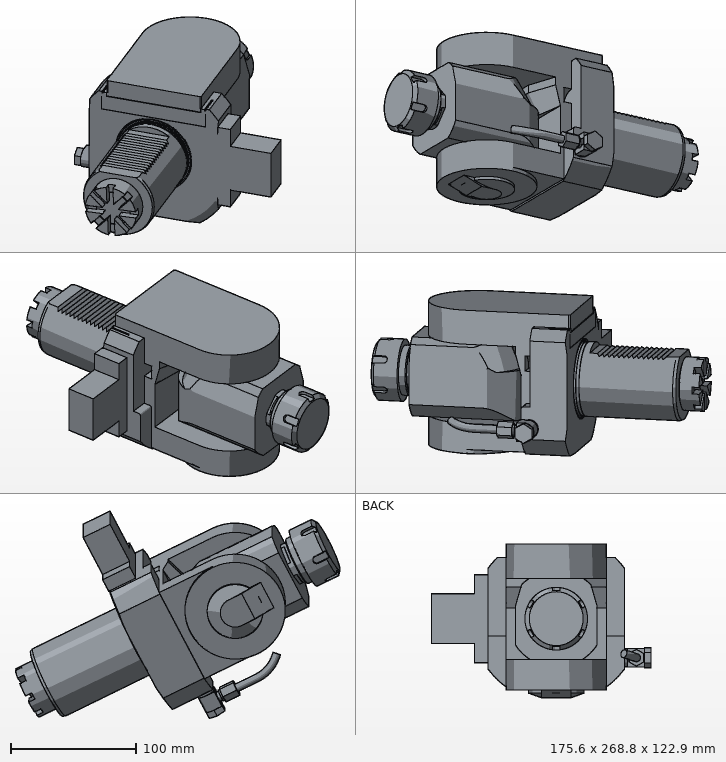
import cadquery as cq
import math


plate_half_width = 54.5
plate_top = 49.0
plate_bottom = -55.5
plate_radius = 67.8
plate_face_radius = 61.8
plate_thickness = 30.7
corner_slope = math.radians(15)
foot_top = -13.7
foot_back = 38.0
foot_fillet = 2.2

seat_half_width = 44.0
seat_bottom = 33.5
seat_setback = 0.3
seat_groove = 1.0
seat_depth = 17.7

flange_end = 65.3
flange_half_height = 35.2
arm_end = 99.8
arm_half_height = 20.0
arm_back = 24.2

frame_radius = 40.0
pivot_y = 85.5
cover_top = 59.7
cover_bottom = 45.7
cover_setback = 1.0
cover_corner = 1.0
upper_arm_bottom = 32.0
lower_arm_bottom = -53.8
lower_disc_bottom = -57.0
web_back = 41.1
bulge_back = 54.5
bulge_edge_back = 45.7
bulge_half_width = 13.5
bulge_full_z = 25.3
bulge_foot_back = 45.0
bulge_foot_z = 8.3
recess_radius = 12.5
recess_floor_z = 12.5

cap_radius = 22.3
cap_rim = 2.5
cap_tip_radius = 11.8
cap_bottom = -63.2
pointer_tip_y = 114.3

head_half_size = 32.5
head_top = upper_arm_bottom
head_front = 135.0
head_shoulder = (27.7, 27.2)
head_side_top = 10.2
head_turned_radius = 38.7
head_back_center_y = 75.3
cone_base_z = 8.0
cone_base_radius = 37.5
cone_top_radius = 25.3

spindle_diameter = 35.0
collar_diameter = 40.0
collar_start = 140.5
collar_chamfer = 0.8
wrench_flats = 31.2
wrench_flat_length = 3.0
nut_start = 146.5
nut_end = 168.5
nut_diameter = 50.0
nut_chamfer_radial = 3.5
nut_chamfer_length = 2.7
nut_slot_count = 6
nut_slot_width = 6.2
nut_slot_length = 13.2
nut_slot_depth = 2.7

shank_diameter = 60.0
neck_diameter = 58.5
neck_length = 3.8
neck_shoulder = 1.0
shank_end = -83.0
shank_chamfer_radial = 0.8
shank_chamfer_length = 2.5
ring_diameter = 64.5
ring_depth = 1.3
seal_diameter = 62.5
seal_setback = 0.5
shank_flat_z = 24.7
shank_flat_start = -9.7
tooth_count = 14
tooth_pitch = 4.0
tooth_depth = 2.02
first_tooth_y = -18.0

drive_diameter = 43.0
drive_gap = 1.0
drive_end = -100.3
undercut_diameter = 37.6
drive_slot_count = 4
drive_slot_width = 5.6
drive_slot_depth = 5.6
inner_slot_length = 28.5
inner_slot_depth = 6.5
drive_rotation = -2.5

banjo_y = 31.0
banjo_z = -31.2
banjo_diameter = 15.0
banjo_outer_x = -70.5
banjo_inner_x = -57.0
banjo_neck_diameter = 14.5
bolt_head_x = -75.8
bolt_head_corners = 16.1
tube_x = -64.0
tube_neck_diameter = 8.0
tube_shoulder_diameter = 9.7
shoulder_start = 40.3
union_start = 42.0
union_end = 54.3
union_corners = 13.5
tube_diameter = 6.5
tube_bend_start = 72.5
tube_bend_radius = 29.5
tube_bend_angle = math.radians(45)
tube_tip_length = 2.7
tube_tilt = math.radians(18)


def box(x0, x1, y0, y1, z0, z1):
    return cq.Workplane("XY").box(x1 - x0, y1 - y0, z1 - z0, centered=False).translate((x0, y0, z0))


def y_prism(points, y0, y1):
    """Extrude an outline of (x, z) points from y0 to y1."""
    return cq.Workplane("XZ", origin=(0, y0, 0)).polyline(points).close().extrude(y0 - y1)


def x_prism(points, half_width):
    """Extrude an outline of (y, z) points to both sides of x = 0."""
    return cq.Workplane("YZ").polyline(points).close().extrude(half_width, both=True)


def y_cylinder(diameter, y0, y1, x=0, z=0):
    return cq.Workplane("XZ", origin=(x, y0, z)).circle(diameter / 2).extrude(y0 - y1)


def y_hexagon(corners, y0, y1, x, z):
    hexagon = cq.Workplane("XZ", origin=(x, y0, z)).polygon(6, corners).extrude(y0 - y1)
    return hexagon.rotate((x, 0, z), (x, 1, z), 30)


def y_revolve(points):
    """Revolve an outline of (radius, y) points about the Y axis."""
    return cq.Workplane("XY").polyline(points).close().revolve(360, (0, 0, 0), (0, 1, 0))


def rounded_arm(y0, z0, z1):
    """A frame arm from y0 to its round end about the pivot."""
    outline = (
        cq.Workplane("XY", origin=(0, 0, z0))
        .moveTo(-frame_radius, y0)
        .lineTo(frame_radius, y0)
        .lineTo(frame_radius, pivot_y)
        .threePointArc((0, pivot_y + frame_radius), (-frame_radius, pivot_y))
        .close()
    )
    return outline.extrude(z1 - z0)


def make_plate():
    blank = y_cylinder(2 * plate_radius, 0, foot_back).intersect(
        box(-plate_half_width, plate_half_width, 0, foot_back, plate_bottom, plate_top)
    )
    behind_plate = box(
        -plate_half_width, plate_half_width, plate_thickness, foot_back, plate_bottom, plate_top
    )
    plate = blank.cut(behind_plate)
    foot = blank.intersect(
        box(-plate_half_width, plate_half_width, 0, foot_back, plate_bottom, foot_top)
    )
    foot = foot.faces(">Z").edges(">Y").fillet(foot_fillet)
    plate = plate.union(foot)

    slope_depth = (plate_radius - plate_face_radius) * math.tan(corner_slope)
    corner_slopes = y_revolve([(plate_face_radius, 0), (plate_radius, 0), (plate_radius, slope_depth)])
    plate = plate.cut(corner_slopes)

    seat_relief = box(-seat_half_width, seat_half_width, 0, seat_setback, seat_bottom, plate_top)
    cover_relief = box(-frame_radius, frame_radius, 0, cover_setback, cover_bottom, plate_top)
    plate = plate.cut(seat_relief).cut(cover_relief)
    for side in (-1, 1):
        groove = box(-seat_groove / 2, seat_groove / 2, 0, seat_depth, plate_top - seat_groove, plate_top)
        plate = plate.cut(groove.translate((side * (seat_half_width - seat_groove / 2), 0, 0)))
    return plate


def make_side_arm():
    flange = box(plate_half_width, flange_end, 0, arm_back, -flange_half_height, flange_half_height)
    return flange.union(box(plate_half_width, arm_end, 0, arm_back, -arm_half_height, arm_half_height))


def bulge_outline(z, edge_back, middle_back):
    """Plan outline of the web's bulge at height z."""
    points = [
        (-frame_radius, plate_thickness),
        (-frame_radius, edge_back),
        (-bulge_half_width, middle_back),
        (bulge_half_width, middle_back),
        (frame_radius, edge_back),
        (frame_radius, plate_thickness),
    ]
    return cq.Workplane("XY", origin=(0, 0, z)).polyline(points).close()


def make_frame():
    cover = rounded_arm(cover_setback, cover_bottom, cover_top)
    cover = cover.faces("<Y").edges("|Z").chamfer(cover_corner)
    upper_arm = rounded_arm(seat_setback, upper_arm_bottom, cover_bottom)
    lower_arm = rounded_arm(foot_back, lower_arm_bottom, -head_half_size)
    disc = (
        cq.Workplane("XY", origin=(0, pivot_y, lower_disc_bottom))
        .circle(frame_radius)
        .extrude(lower_arm_bottom - lower_disc_bottom)
    )
    web = box(
        -frame_radius, frame_radius, plate_thickness, web_back, lower_arm_bottom, upper_arm_bottom
    )
    bulge_foot = bulge_outline(bulge_foot_z, web_back, bulge_foot_back)
    bulge_full = bulge_outline(bulge_full_z, bulge_edge_back, bulge_back)
    bulge = bulge_full.extrude(upper_arm_bottom - bulge_full_z)
    bulge_taper = cq.Workplane(cq.Solid.makeLoft([bulge_foot.val(), bulge_full.val()], True))
    frame = cover.union(upper_arm).union(lower_arm).union(disc).union(web).union(bulge).union(bulge_taper)
    for side in (-1, 1):
        recess = y_cylinder(2 * recess_radius, plate_thickness, foot_back, side * frame_radius, recess_floor_z)
        below_floor = box(-arm_end, arm_end, 0, foot_back, lower_arm_bottom, recess_floor_z)
        frame = frame.cut(recess.cut(below_floor))
    return frame


def make_pivot_cap():
    rim_bottom = lower_disc_bottom - cap_rim
    cap = (
        cq.Workplane("XZ")
        .polyline(
            [
                (0, lower_arm_bottom),
                (cap_radius, lower_arm_bottom),
                (cap_radius, rim_bottom),
                (cap_tip_radius, cap_bottom),
                (0, cap_bottom),
            ]
        )
        .close()
        .revolve(360, (0, 0, 0), (0, 1, 0))
        .translate((0, pivot_y, 0))
    )
    pointer = x_prism(
        [
            (pivot_y, lower_disc_bottom),
            (pointer_tip_y, lower_disc_bottom),
            (pivot_y + cap_tip_radius, cap_bottom),
            (pivot_y, cap_bottom),
        ],
        cap_tip_radius,
    )
    return cap.union(pointer)


def make_head():
    outline = [
        (head_half_size, -head_half_size),
        (head_half_size, head_side_top),
        head_shoulder,
        (head_shoulder[0], head_top),
        (-head_shoulder[0], head_top),
        (-head_shoulder[0], head_shoulder[1]),
        (-head_half_size, head_side_top),
        (-head_half_size, -head_half_size),
    ]
    head_back = head_back_center_y - head_half_size
    head = y_prism(outline, head_back, head_front)
    head = head.intersect(y_cylinder(2 * head_turned_radius, head_back, head_front))

    round_back = (
        cq.Workplane("XY", origin=(0, head_back_center_y, -head_half_size))
        .circle(head_half_size)
        .extrude(2 * head_half_size)
    )
    front_part = box(
        -head_half_size, head_half_size, head_back_center_y, head_front, -head_half_size, head_half_size
    )
    head = head.intersect(round_back.union(front_part))

    cone = (
        cq.Workplane("XY", origin=(0, pivot_y, cone_base_z))
        .circle(cone_base_radius)
        .workplane(offset=head_top - cone_base_z)
        .circle(cone_top_radius)
        .loft()
    )
    above_ledge = box(-head_half_size, head_half_size, head_back, pivot_y, cone_base_z, head_top)
    return head.cut(above_ledge.cut(cone))


def make_spindle():
    flat_x = wrench_flats / 2
    flat_end = head_front + wrench_flat_length
    spindle = y_cylinder(spindle_diameter, head_front, collar_start)
    square = box(-flat_x, flat_x, head_front, flat_end, -flat_x, flat_x).rotate((0, 0, 0), (0, 1, 0), 45)
    spindle = spindle.intersect(square.union(y_cylinder(spindle_diameter, flat_end, collar_start)))
    collar = y_cylinder(collar_diameter, collar_start, nut_start)
    spindle = spindle.union(collar.faces("<Y").chamfer(collar_chamfer))
    nut_radius = nut_diameter / 2
    nut = y_revolve(
        [
            (0, nut_start),
            (nut_radius, nut_start),
            (nut_radius, nut_end - nut_chamfer_length),
            (nut_radius - nut_chamfer_radial, nut_end),
            (0, nut_end),
        ]
    )
    half_width = nut_slot_width / 2
    slot_floor = nut_radius - nut_slot_depth
    slot_center_y = nut_end - nut_slot_length + half_width
    slot = box(-half_width, half_width, slot_center_y, nut_end, slot_floor, nut_radius)
    slot_end = (
        cq.Workplane("XY", origin=(0, slot_center_y, slot_floor)).circle(half_width).extrude(nut_slot_depth)
    )
    slot = slot.union(slot_end)
    for i in range(nut_slot_count):
        nut = nut.cut(slot.rotate((0, 0, 0), (0, 1, 0), i * 360 / nut_slot_count))
    return spindle.union(nut)


def make_shank():
    radius = shank_diameter / 2
    shank = y_cylinder(shank_diameter, shank_end, -neck_length)
    chamfer = y_revolve(
        [
            (radius, shank_end),
            (radius, shank_end + shank_chamfer_length),
            (radius - shank_chamfer_radial, shank_end),
        ]
    )
    shank = shank.cut(chamfer)
    shank = shank.union(y_cylinder(neck_diameter, -neck_length, -neck_shoulder))
    shank = shank.union(y_cylinder(shank_diameter, -neck_shoulder, ring_depth))
    shank = shank.union(y_cylinder(seal_diameter, seal_setback, ring_depth))
    shank = shank.cut(box(-radius, radius, shank_end, shank_flat_start, shank_flat_z, radius))
    for i in range(tooth_count):
        y = first_tooth_y - i * tooth_pitch
        groove = [
            (y - tooth_pitch / 2, shank_flat_z),
            (y, shank_flat_z - tooth_depth),
            (y + tooth_pitch / 2, shank_flat_z),
        ]
        shank = shank.cut(x_prism(groove, radius))
    return shank


def make_drive():
    drive_start = shank_end - drive_gap
    drive = y_cylinder(drive_diameter, drive_end, drive_start)
    drive = drive.union(y_cylinder(undercut_diameter, drive_start, shank_end))
    half_width = drive_slot_width / 2
    for length, depth in ((drive_diameter, drive_slot_depth), (inner_slot_length, inner_slot_depth)):
        slot = box(-length / 2, length / 2, drive_end, drive_end + depth, -half_width, half_width)
        for i in range(drive_slot_count):
            angle = drive_rotation + i * 180 / drive_slot_count
            drive = drive.cut(slot.rotate((0, 0, 0), (0, 1, 0), angle))
    return drive


def make_banjo():
    def x_section(x0):
        return cq.Workplane("YZ", origin=(x0, banjo_y, banjo_z))

    bolt_head = (
        x_section(bolt_head_x)
        .transformed(rotate=(0, 0, 30))
        .polygon(6, bolt_head_corners)
        .extrude(banjo_outer_x - bolt_head_x)
    )
    banjo_radius = banjo_diameter / 2
    banjo = x_section(banjo_outer_x).circle(banjo_radius).extrude(banjo_inner_x - banjo_outer_x)
    banjo_back = box(
        banjo_outer_x, banjo_inner_x, banjo_y, foot_back, banjo_z - banjo_radius, banjo_z + banjo_radius
    )
    neck = x_section(banjo_inner_x).circle(banjo_neck_diameter / 2).extrude(-plate_half_width - banjo_inner_x)
    return bolt_head.union(banjo).union(banjo_back).union(neck)


def make_tube():
    bend_plane = cq.Plane(
        origin=(tube_x, union_end, banjo_z),
        xDir=(math.cos(tube_tilt), 0, math.sin(tube_tilt)),
        normal=(-math.sin(tube_tilt), 0, math.cos(tube_tilt)),
    )
    straight = tube_bend_start - union_end

    def on_bend(angle):
        along = straight + tube_bend_radius * math.sin(angle)
        return (tube_bend_radius * (1 - math.cos(angle)), along)

    bend_end = on_bend(tube_bend_angle)
    tip = (
        bend_end[0] + tube_tip_length * math.sin(tube_bend_angle),
        bend_end[1] + tube_tip_length * math.cos(tube_bend_angle),
    )
    path = (
        cq.Workplane(bend_plane)
        .lineTo(0, straight)
        .threePointArc(on_bend(tube_bend_angle / 2), bend_end)
        .lineTo(*tip)
    )
    return cq.Workplane("XZ", origin=(tube_x, union_end, banjo_z)).circle(tube_diameter / 2).sweep(path)


def make_nozzle():
    nozzle = make_banjo()
    nozzle = nozzle.union(y_cylinder(tube_neck_diameter, banjo_y, union_start, tube_x, banjo_z))
    nozzle = nozzle.union(y_cylinder(tube_shoulder_diameter, shoulder_start, union_start, tube_x, banjo_z))
    nozzle = nozzle.union(y_hexagon(union_corners, union_start, union_end, tube_x, banjo_z))
    return nozzle.union(make_tube())


body = make_plate().union(make_side_arm()).union(make_frame())
body = body.cut(y_cylinder(ring_diameter, 0, ring_depth))
for feature in (make_pivot_cap, make_head, make_spindle, make_shank, make_drive, make_nozzle):
    body = body.union(feature())

result = body